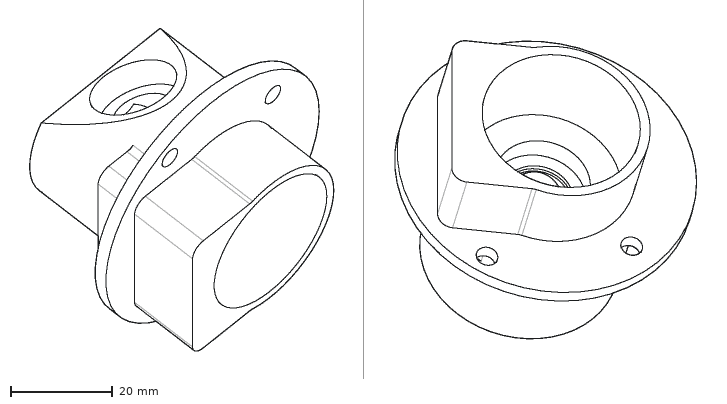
import cadquery as cq
import math

nose_length = 20.0
block_length = 8.0
flange_thickness = 3.0
rear_length = 16.0
flange_front = nose_length + block_length
flange_back = flange_front + flange_thickness
back_face = flange_back + rear_length

flange_radius = 30.0
nose_radius = 20.0
rear_radius = 17.8
corner_radius = 3.0

front_block_reach = 21.0
front_block_half_height = 16.0
rear_block_reach = 21.9
rear_block_half_height = 17.0

slant_angle = 25.0
slant_front_height = 10.9

port_x = 9.0
counterbore_radius = 9.0
counterbore_depth = 6.0
port_radius = 6.0
port_length = 15.6
bore_front = 7.0
bore_radius = 6.5

lip_end = nose_length + 1.0
lip_radius = 7.0
seat_end = nose_length + 6.0
seat_radius = 9.6
cavity_wall = 2.0
cavity_radius = rear_radius - cavity_wall

screw_radius = 2.15
screw_places = [(-12.0, 23.0), (17.0, 17.0)]


def disc(start, length, radius):
    """Cylinder along X centred on the X axis."""
    return cq.Workplane("YZ", origin=(start, 0, 0)).circle(radius).extrude(length)


def blended_body(start, length, radius, reach, half_height):
    """Cylinder with a round-cornered side block, joined by concave blends."""
    blend_height = half_height + corner_radius
    blend_y = -math.sqrt((radius + corner_radius) ** 2 - blend_height**2)
    touch_scale = radius / (radius + corner_radius)
    plane = cq.Workplane("YZ", origin=(start, 0, 0))
    block = (
        plane.center(-reach / 2, 0)
        .rect(reach, 2 * half_height)
        .extrude(length)
        .edges("|X and <Y")
        .fillet(corner_radius)
    )
    body = disc(start, length, radius).union(block)
    for side in (1, -1):
        web = (
            plane.moveTo(0, 0)
            .lineTo(blend_y * touch_scale, side * blend_height * touch_scale)
            .lineTo(blend_y, side * blend_height)
            .lineTo(blend_y, 0)
            .close()
            .extrude(length)
        )
        relief = plane.center(blend_y, side * blend_height).circle(corner_radius).extrude(length)
        body = body.union(web.cut(relief))
    return body


def slant_cutter():
    """Wedge above the slanted face."""
    end_height = slant_front_height + nose_length * math.tan(math.radians(slant_angle))
    return (
        cq.Workplane("XZ")
        .moveTo(0, slant_front_height)
        .lineTo(nose_length, end_height)
        .lineTo(0, end_height)
        .close()
        .extrude(nose_radius, both=True)
    )


def port_cutter():
    """Counterbore and narrower bore running down from the slanted face."""
    angle = math.radians(slant_angle)
    port_z = slant_front_height + port_x * math.tan(angle)
    face = cq.Plane(
        origin=(port_x, 0, port_z),
        xDir=(0, 1, 0),
        normal=(math.sin(angle), 0, -math.cos(angle)),
    )
    counterbore = cq.Workplane(face).circle(counterbore_radius).extrude(counterbore_depth)
    bore = cq.Workplane(face).circle(port_radius).extrude(port_length)
    return counterbore.union(bore)


def stepped_bore():
    """Blind bore along X that widens in steps up to the open back."""
    bore = disc(bore_front, nose_length - bore_front, bore_radius)
    lip = disc(nose_length, lip_end - nose_length, lip_radius)
    seat = disc(lip_end, seat_end - lip_end, seat_radius)
    cavity = disc(seat_end, back_face - seat_end, cavity_radius)
    return bore.union(lip).union(seat).union(cavity)


nose = disc(0, nose_length, nose_radius).cut(slant_cutter())
front_body = blended_body(
    nose_length, block_length, nose_radius, front_block_reach, front_block_half_height
)
rear_body = blended_body(
    flange_back, rear_length, rear_radius, rear_block_reach, rear_block_half_height
)
flange = disc(flange_front, flange_thickness, flange_radius)
screw_points = [(y, side * z) for y, z in screw_places for side in (1, -1)]
screw_holes = (
    cq.Workplane("YZ", origin=(flange_front, 0, 0))
    .pushPoints(screw_points)
    .circle(screw_radius)
    .extrude(flange_thickness)
)
flange = flange.cut(screw_holes)

result = nose.union(front_body).union(flange).union(rear_body)
result = result.cut(port_cutter()).cut(stepped_bore())